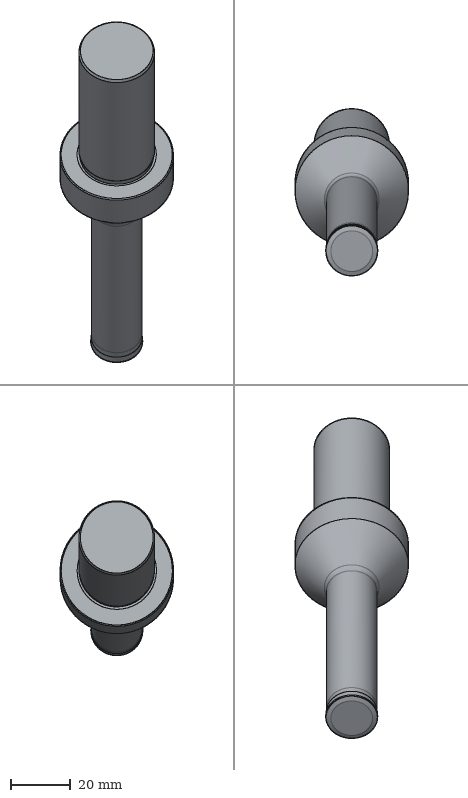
import cadquery as cq
import math


overall_length = 161.04
shank_radius = 25.4 / 2
shank_chamfer_width = 0.5
shank_chamfer_height = 1.0
shank_bottom = 105.9

neck_radius = 12.4
undercut_radius = 13.3
undercut_depth = 0.3
undercut_slope_height = 0.5

collar_radius = 38.1 / 2
collar_top = 103.95
collar_bottom = 91.0
collar_chamfer = 0.4

stem_radius = 8.5
cone_end_radius = 9.2
cone_bottom = 77.9
blend_bottom = 75.4

flare_top = 5.75
flare_width = 0.07
tip_height = 3.45
tip_joint_radius = stem_radius + flare_width
tip_radius = 8.75
tip_edge_height = 1.0
tip_face_radius = 7.0
tip_rim_radius = 8.6
tip_rim_height = 0.5


def cone_blend_radius():
    """Radius of the arc that is tangent to the stem and ends on the cone."""
    rise = cone_bottom - blend_bottom
    run = cone_end_radius - stem_radius
    return (rise**2 + run**2) / (2 * run)


def blend_midpoint():
    """Middle point of the concave blend between the stem and the cone."""
    radius = cone_blend_radius()
    half_angle = math.asin((cone_bottom - blend_bottom) / radius) / 2
    return (
        stem_radius + radius * (1 - math.cos(half_angle)),
        blend_bottom + radius * math.sin(half_angle),
    )


flare_midpoint = (stem_radius + flare_width / 4, (flare_top + tip_height) / 2)


def make_holder():
    """Shank, collar, cone and stem turned as one piece."""
    profile = (
        cq.Workplane("XZ")
        .moveTo(0, tip_height)
        .lineTo(tip_joint_radius, tip_height)
        .threePointArc(flare_midpoint, (stem_radius, flare_top))
        .lineTo(stem_radius, blend_bottom)
        .threePointArc(blend_midpoint(), (cone_end_radius, cone_bottom))
        .lineTo(collar_radius, collar_bottom)
        .lineTo(collar_radius, collar_top - collar_chamfer)
        .lineTo(collar_radius - collar_chamfer, collar_top)
        .lineTo(undercut_radius, collar_top)
        .lineTo(neck_radius, collar_top - undercut_depth)
        .lineTo(neck_radius, shank_bottom - undercut_slope_height)
        .lineTo(shank_radius, shank_bottom)
        .lineTo(shank_radius, overall_length - shank_chamfer_height)
        .lineTo(shank_radius - shank_chamfer_width, overall_length)
        .lineTo(0, overall_length)
        .close()
    )
    return profile.revolve(360, (0, 0, 0), (0, 1, 0))


def make_tip():
    """Slightly flared disc on the end of the stem, with a bevelled rim."""
    profile = (
        cq.Workplane("XZ")
        .lineTo(tip_face_radius, 0)
        .lineTo(tip_rim_radius, tip_rim_height)
        .lineTo(tip_radius, tip_edge_height)
        .lineTo(tip_joint_radius, tip_height)
        .lineTo(0, tip_height)
        .close()
    )
    return profile.revolve(360, (0, 0, 0), (0, 1, 0))


holder = make_holder()
tip = make_tip()

result = cq.Compound.makeCompound([holder.val(), tip.val()])